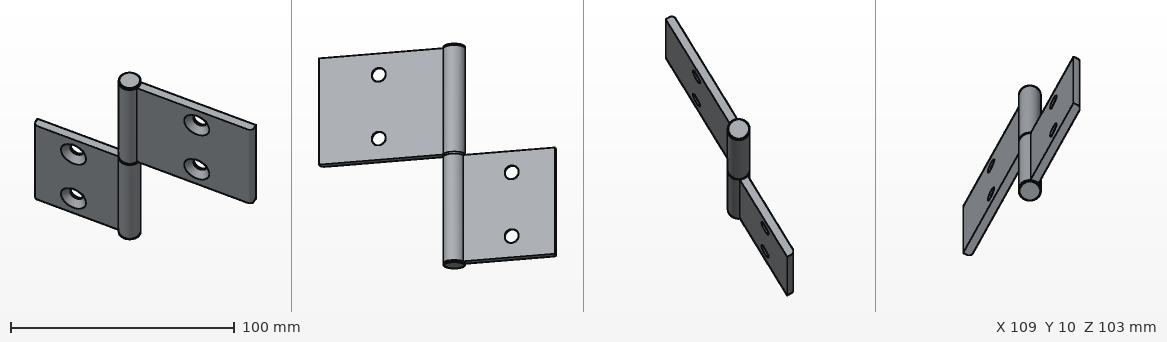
import cadquery as cq

total_width = 109.0
barrel_diameter = 10.0
leaf_height = 50.0
leaf_thickness = 4.0
leaf_edge_radius = 2.0
left_reach = 47.0
right_reach = total_width - left_reach

disc_thickness = 1.0
cap_chamfer = 0.4

screw_hole_diameter = 6.4
countersink_diameter = 12.5
countersink_angle = 90.0
screw_spacing = 30.0
left_screw_offset = 27.0
right_screw_offset = 34.4

upper_leaf_bottom = disc_thickness / 2
lower_leaf_bottom = -upper_leaf_bottom - leaf_height
leaf_stack_top = upper_leaf_bottom + leaf_height


def make_disc(bottom):
    """Disc of barrel diameter on the hinge axis."""
    return cq.Workplane("XY").workplane(offset=bottom).circle(barrel_diameter / 2).extrude(disc_thickness)


def make_leaf(direction, reach, screw_offset, bottom):
    """Plate and barrel in one piece; direction is +1 or -1 along X."""
    middle = bottom + leaf_height / 2
    plate = (
        cq.Workplane("XY")
        .box(reach, leaf_thickness, leaf_height)
        .translate((direction * reach / 2, 0, middle))
    )
    free_side = ">X" if direction > 0 else "<X"
    plate = plate.faces(free_side).edges("<Y").fillet(leaf_edge_radius)

    front_plane = cq.Plane(
        origin=(direction * screw_offset, -leaf_thickness / 2, middle),
        xDir=(1, 0, 0),
        normal=(0, -1, 0),
    )
    plate = (
        plate.copyWorkplane(cq.Workplane(front_plane))
        .pushPoints([(0, -screw_spacing / 2), (0, screw_spacing / 2)])
        .cskHole(screw_hole_diameter, countersink_diameter, countersink_angle)
    )

    barrel = cq.Workplane("XY").workplane(offset=bottom).circle(barrel_diameter / 2).extrude(leaf_height)
    return plate.union(barrel)


lower_leaf = make_leaf(-1, left_reach, left_screw_offset, lower_leaf_bottom)
upper_leaf = make_leaf(1, right_reach, right_screw_offset, upper_leaf_bottom)

spacer = make_disc(-disc_thickness / 2)

end_caps = []
for bottom, outer_face in ((leaf_stack_top, ">Z"), (lower_leaf_bottom - disc_thickness, "<Z")):
    end_cap = make_disc(bottom).faces(outer_face).edges().chamfer(cap_chamfer)
    end_caps.append(end_cap.val())

result = cq.Compound.makeCompound([lower_leaf.val(), upper_leaf.val(), spacer.val(), *end_caps])